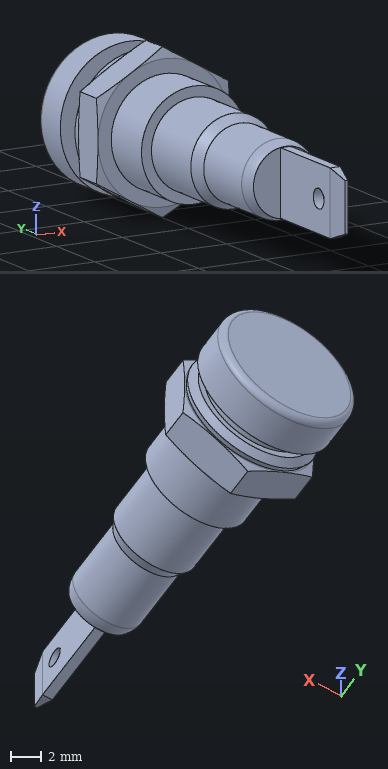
import cadquery as cq
import math

LENGTH = 31.5

HEAD_DIA = 10.5
NECK_DIA = 8.0
SLEEVE_DIA = 6.5
TAIL_DIA = 5.5
TAIL_END_DIA = 4.88

HEAD_BACK = 3.0
NECK_END = 11.5
SLEEVE_END = 16.65
TAIL_START = 17.5
TAIL_ROUND_START = 22.5
TAIL_END = 23.5
HEAD_FILLET = 0.5

BLADE_THICKNESS = 0.8
BLADE_HEIGHT = 4.8
TIP_THICKNESS = 0.22
TIP_HEIGHT = 3.62
TIP_LENGTH = 1.48
HOLE_DIA = 1.4
HOLE_FROM_HEAD = 28.5

COLLAR_FRONT = 4.1
COLLAR_RIM = 4.57
NUT_FRONT = 4.98
NUT_BACK = 7.53
COLLAR_FRONT_DIA = 9.0
COLLAR_RIM_DIA = 10.08
COLLAR_BACK_DIA = 9.75
NUT_ACROSS_FLATS = 10.02
NUT_ACROSS_CORNERS = NUT_ACROSS_FLATS / math.cos(math.radians(30))
NUT_BEVEL_ANGLE = 15.0


def revolve_about_y(outline):
    """Turn an XY half-outline a full revolution about the Y axis."""
    return outline.close().revolve(360, (0, 0, 0), (0, 1, 0))


def make_barrel():
    """Stepped round body with a rounded head edge and tail end."""
    inset = (TAIL_DIA - TAIL_END_DIA) / 2
    run = TAIL_END - TAIL_ROUND_START
    arc_radius = (inset**2 + run**2) / (2 * inset)
    half_angle = math.asin(run / arc_radius) / 2
    arc_middle = (
        TAIL_DIA / 2 - arc_radius * (1 - math.cos(half_angle)),
        -TAIL_ROUND_START - arc_radius * math.sin(half_angle),
    )
    outline = (
        cq.Workplane("XY")
        .lineTo(HEAD_DIA / 2, 0)
        .lineTo(HEAD_DIA / 2, -HEAD_BACK)
        .lineTo(NECK_DIA / 2, -HEAD_BACK)
        .lineTo(NECK_DIA / 2, -NECK_END)
        .lineTo(SLEEVE_DIA / 2, -NECK_END)
        .lineTo(SLEEVE_DIA / 2, -SLEEVE_END)
        .lineTo(TAIL_DIA / 2, -TAIL_START)
        .lineTo(TAIL_DIA / 2, -TAIL_ROUND_START)
        .threePointArc(arc_middle, (TAIL_END_DIA / 2, -TAIL_END))
        .lineTo(0, -TAIL_END)
    )
    return revolve_about_y(outline).faces(">Y").edges().fillet(HEAD_FILLET)


def make_blade():
    """Flat blade with a tapered tip and a cross hole."""
    tip_start = LENGTH - TIP_LENGTH
    shank = cq.Workplane("XY").box(
        BLADE_THICKNESS, tip_start - TAIL_END, BLADE_HEIGHT
    ).translate((0, -(TAIL_END + tip_start) / 2, 0))
    tip = (
        cq.Workplane("XZ", origin=(0, -tip_start, 0))
        .rect(BLADE_THICKNESS, BLADE_HEIGHT)
        .workplane(offset=TIP_LENGTH)
        .rect(TIP_THICKNESS, TIP_HEIGHT)
        .loft(ruled=True)
    )
    hole = (
        cq.Workplane("YZ", origin=(0, -HOLE_FROM_HEAD, 0))
        .circle(HOLE_DIA / 2)
        .extrude(BLADE_THICKNESS, both=True)
    )
    return shank.union(tip).cut(hole)


def make_housing():
    return make_barrel().union(make_blade())


def make_hexagon():
    """Hexagon with corners on Z, its corners bevelled at both ends."""
    hexagon = (
        cq.Workplane("XZ", origin=(0, -NUT_FRONT, 0))
        .polygon(6, NUT_ACROSS_CORNERS)
        .extrude(NUT_BACK - NUT_FRONT)
        .rotate((0, 0, 0), (0, 1, 0), 90)
    )
    face_radius = NUT_ACROSS_FLATS / 2
    corner_radius = NUT_ACROSS_CORNERS / 2
    bevel = (corner_radius - face_radius) * math.tan(math.radians(NUT_BEVEL_ANGLE))
    bevel_envelope = revolve_about_y(
        cq.Workplane("XY")
        .moveTo(0, -NUT_FRONT)
        .lineTo(face_radius, -NUT_FRONT)
        .lineTo(corner_radius, -NUT_FRONT - bevel)
        .lineTo(corner_radius, -NUT_BACK + bevel)
        .lineTo(face_radius, -NUT_BACK)
        .lineTo(0, -NUT_BACK)
    )
    return hexagon.intersect(bevel_envelope)


def make_collar():
    """Double-bevelled ring on the head side of the nut."""
    return revolve_about_y(
        cq.Workplane("XY")
        .moveTo(0, -COLLAR_FRONT)
        .lineTo(COLLAR_FRONT_DIA / 2, -COLLAR_FRONT)
        .lineTo(COLLAR_RIM_DIA / 2, -COLLAR_RIM)
        .lineTo(COLLAR_BACK_DIA / 2, -NUT_FRONT)
        .lineTo(0, -NUT_FRONT)
    )


def make_nut():
    """Hexagon and collar, bored to fit the housing neck."""
    bore = (
        cq.Workplane("XZ", origin=(0, -COLLAR_FRONT, 0))
        .circle(NECK_DIA / 2)
        .extrude(NUT_BACK - COLLAR_FRONT)
    )
    return make_hexagon().union(make_collar()).cut(bore)


housing = make_housing()
nut = make_nut()

result = cq.Compound.makeCompound([housing.val(), nut.val()])